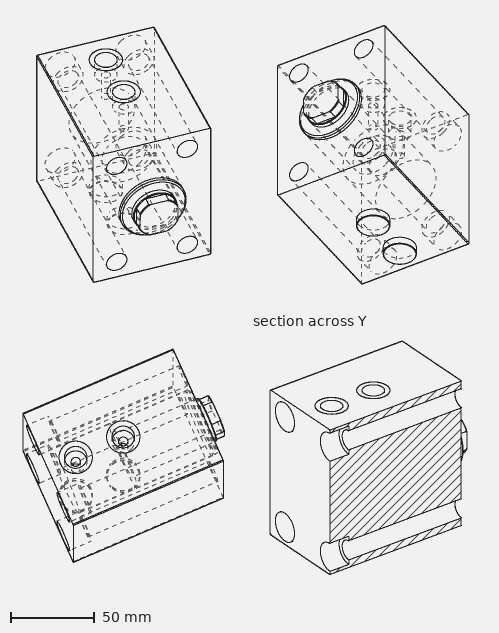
import cadquery as cq

overall_length = 110.0
block_width = 75.0
overall_height = 104.9
plug_height = 5.0
block_edge_chamfer = 0.7

bolt_spacing_y = 45.0
bolt_spacing_z = 76.0
bolt_hole_diameter = 13.0
counterbore_diameter = 19.1
counterbore_depth = 14.0

cap_port_x = 18.0
rod_port_x = 49.1
spotface_diameter = 19.9
spotface_depth = 0.1
port_diameter = 13.4
port_depth = 12.0
oil_passage_diameter = 5.5

plug_diameter = spotface_diameter
plug_chamfer = 0.3

bore_diameter = 42.0
bore_end_x = 11.0
gland_projection = 3.0
gland_chamfer = 1.0
rod_diameter = 27.9
rod_projection = 3.1
rod_chamfer = 0.4
wrench_length = 5.9
wrench_across_flats = 24.0
wrench_diameter = rod_diameter - 2 * rod_chamfer
wrench_chamfer = 0.4

block_height = overall_height - plug_height
block_top = block_height / 2
block_length = overall_length - gland_projection - rod_projection - wrench_length
piston_front_x = rod_port_x
gland_end_x = block_length + gland_projection
rod_shoulder_x = gland_end_x + rod_projection
port_positions = (cap_port_x, rod_port_x)


def cylinder_along_x(diameter, start_x, end_x):
    """Solid cylinder on the X axis between two stations."""
    return cq.Workplane("YZ", origin=(start_x, 0, 0)).circle(diameter / 2).extrude(end_x - start_x)


def cylinder_down(diameter, x, top_z, depth):
    """Solid vertical cylinder that hangs down from top_z."""
    return cq.Workplane("XY", origin=(x, 0, top_z)).circle(diameter / 2).extrude(-depth)


def cut_bolt_holes(block):
    """Four through holes, each with a deep counterbore in the -X face."""
    return (
        block.faces("<X")
        .workplane(centerOption="CenterOfBoundBox")
        .rect(bolt_spacing_y, bolt_spacing_z, forConstruction=True)
        .vertices()
        .cboreHole(bolt_hole_diameter, counterbore_diameter, counterbore_depth)
    )


def cut_port(block, x):
    """Spotfaced port with a narrow passage down into the bore."""
    block = block.cut(cylinder_down(spotface_diameter, x, block_top, spotface_depth))
    block = block.cut(cylinder_down(port_diameter, x, block_top, port_depth))
    return block.cut(cylinder_down(oil_passage_diameter, x, block_top, block_top))


def make_block():
    """Rectangular housing with chamfered long edges, bolt holes, ports and a blind bore."""
    block = (
        cq.Workplane("XY")
        .box(block_length, block_width, block_height, centered=(False, True, True))
        .edges("|X")
        .chamfer(block_edge_chamfer)
    )
    block = cut_bolt_holes(block)
    for x in port_positions:
        block = cut_port(block, x)
    return block.cut(cylinder_along_x(bore_diameter, bore_end_x, block_length))


def make_gland():
    """Guide sleeve that closes the bore around the rod and stands proud of the block."""
    sleeve = cylinder_along_x(bore_diameter, piston_front_x, gland_end_x)
    sleeve = sleeve.faces(">X").edges().chamfer(gland_chamfer)
    return sleeve.cut(cylinder_along_x(rod_diameter, piston_front_x, gland_end_x))


def make_wrench_end():
    """Chamfered rod tip with four wrench flats."""
    tip = cylinder_along_x(wrench_diameter, rod_shoulder_x, overall_length)
    tip = tip.faces(">X").edges().chamfer(wrench_chamfer)
    flats = cq.Workplane("XY").box(
        wrench_length, wrench_across_flats, wrench_across_flats, centered=(False, True, True)
    )
    return tip.intersect(flats.translate((rod_shoulder_x, 0, 0)))


def make_piston():
    """Piston and rod in one piece, ending in the wrench flats."""
    head = cylinder_along_x(bore_diameter, bore_end_x, piston_front_x)
    rod = cylinder_along_x(rod_diameter, piston_front_x, rod_shoulder_x)
    rod = rod.faces(">X").edges().chamfer(rod_chamfer)
    return head.union(rod).union(make_wrench_end())


def make_plug(x):
    """Round plug on the underside of the block."""
    plug = cylinder_down(plug_diameter, x, -block_top, plug_height)
    return plug.faces("<Z").edges().chamfer(plug_chamfer)


block = make_block()
gland = make_gland()
piston = make_piston()
plugs = [make_plug(x).val() for x in port_positions]

result = cq.Compound.makeCompound([block.val(), gland.val(), piston.val(), *plugs])